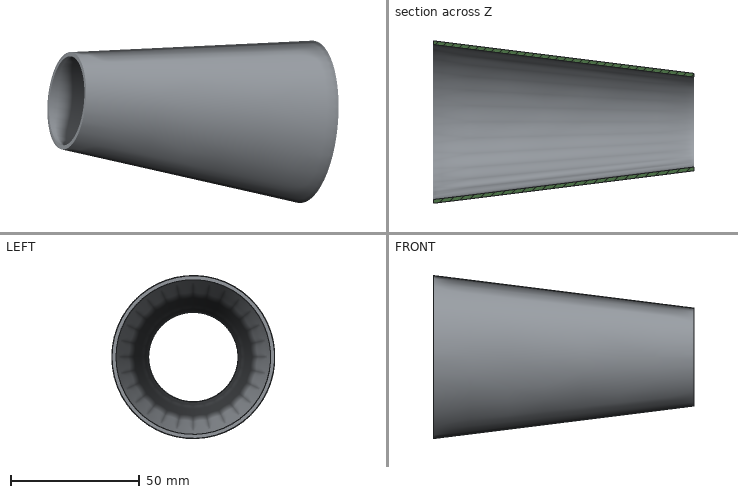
import cadquery as cq

INCH = 25.4
length = 4.0 * INCH
large_radius = 2.5 * INCH / 2
small_radius = 1.5 * INCH / 2
wall = 0.065 * INCH


def cone(start_radius, end_radius):
    """Solid cone frustum on the X axis, spanning the full length."""
    return (
        cq.Workplane("XY")
        .polyline([(0, 0), (0, start_radius), (length, end_radius), (length, 0)])
        .close()
        .revolve(360, (0, 0, 0), (1, 0, 0))
    )


outer_body = cone(large_radius, small_radius)
bore = cone(large_radius - wall, small_radius - wall)

result = outer_body.cut(bore)